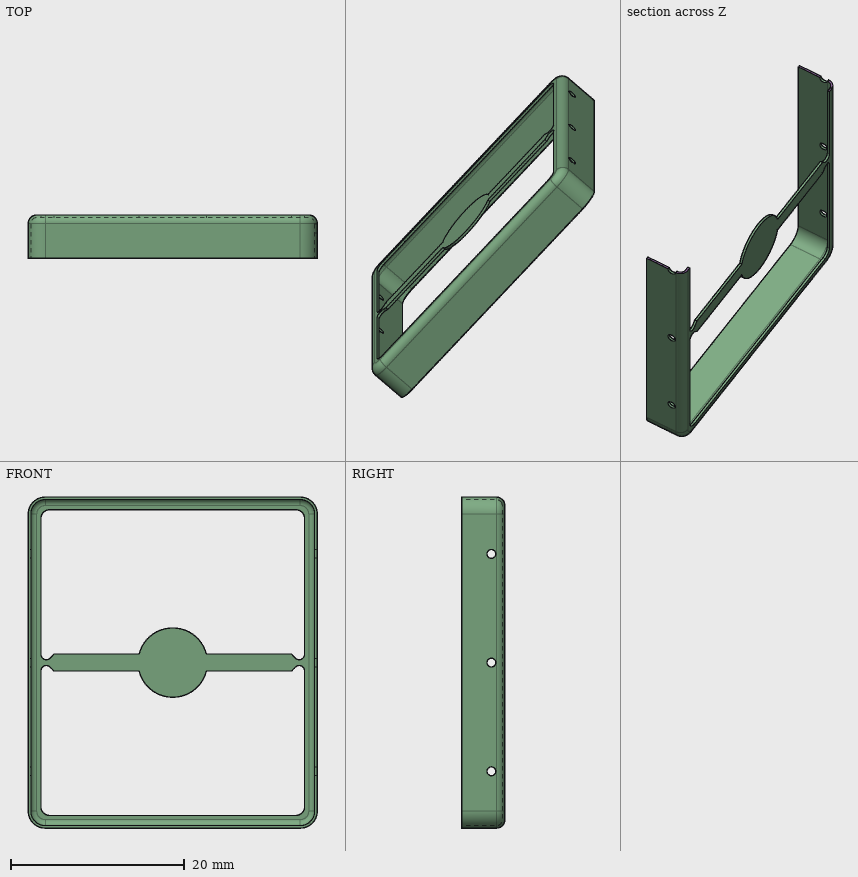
import cadquery as cq
import math

width = 33.3
depth = 5.0
height = 38.15
wall = 0.3
corner_radius = 2.0
edge_radius = 1.0
inner_corner_radius = corner_radius - wall
inner_edge_radius = edge_radius - wall
back = depth / 2

lip = 1.5
window_corner_radius = 1.0

disc_radius = 4.0
bar_height = 2.0
bar_end_inset = 2.98
neck_height = 0.7
notch_radius = 0.6
ramp_angle = 50.0

hole_diameter = 1.0
hole_from_back = 1.55
hole_pitch = 12.5


def rounded_block(size_x, size_z, front, rear, radius):
    """Block from y = front to y = rear with rounded corners in the XZ plane."""
    length = rear - front
    return (
        cq.Workplane("XY")
        .box(size_x, length, size_z)
        .edges("|Y")
        .fillet(radius)
        .translate((0, (front + rear) / 2, 0))
    )


def make_tray():
    outer = rounded_block(width, height, -back, back, corner_radius)
    outer = outer.faces(">Y").edges().fillet(edge_radius)
    cavity = rounded_block(
        width - 2 * wall, height - 2 * wall, -back, back - wall, inner_corner_radius
    )
    cavity = cavity.faces(">Y").edges().fillet(inner_edge_radius)
    window = rounded_block(
        width - 2 * lip, height - 2 * lip, -back, back, window_corner_radius
    )
    return outer.cut(cavity).cut(window)


def back_plane():
    """XZ plane on the back face; its extrusions run from the back inwards."""
    return cq.Workplane("XZ", origin=(0, back, 0))


def make_notch():
    """Upper right notch: an arc tangent to the lip, then a ramp up to the bar."""
    lip_edge = width / 2 - lip
    bar_end = width / 2 - bar_end_inset
    center_x = lip_edge - notch_radius
    center_z = neck_height / 2 + notch_radius
    ramp = math.radians(ramp_angle)
    ramp_start = (
        center_x - notch_radius * math.sin(ramp),
        center_z - notch_radius * math.cos(ramp),
    )
    return (
        back_plane()
        .moveTo(lip_edge, center_z)
        .threePointArc((center_x, neck_height / 2), ramp_start)
        .lineTo(bar_end, bar_height / 2)
        .lineTo(bar_end, bar_height)
        .lineTo(lip_edge, bar_height)
        .close()
        .extrude(wall)
    )


def make_crossbar():
    bar_length = width - 2 * edge_radius
    bar = back_plane().rect(bar_length, bar_height).extrude(wall)
    right_notches = make_notch()
    right_notches = right_notches.union(right_notches.mirror("XY"))
    bar = bar.cut(right_notches).cut(right_notches.mirror("YZ"))
    disc = back_plane().circle(disc_radius).extrude(wall)
    return bar.union(disc)


def make_pin_holes():
    return (
        cq.Workplane("YZ", origin=(0, back - hole_from_back, 0))
        .rarray(0.4, hole_pitch, 1, 3)
        .circle(hole_diameter / 2)
        .extrude(width, both=True)
    )


result = make_tray().union(make_crossbar()).cut(make_pin_holes())